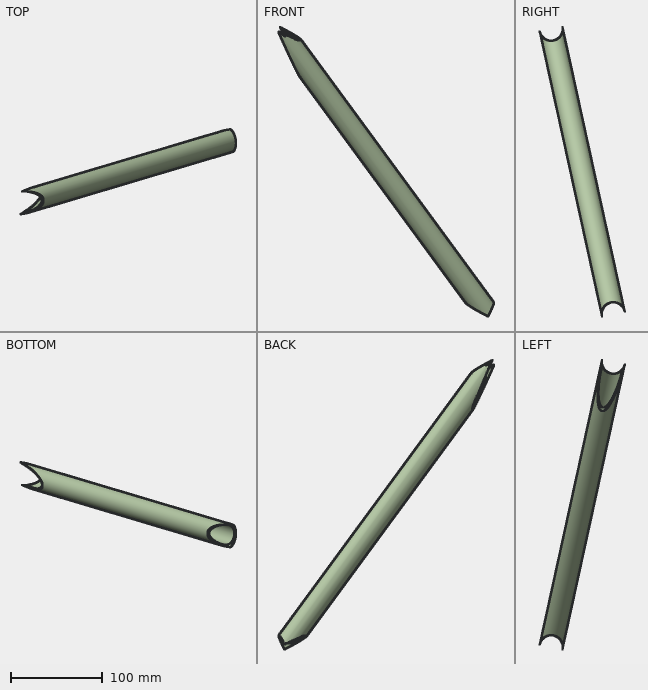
import cadquery as cq
OUTER_DIAMETER = 25.4
WALL = 1.65
LOWER_JOINT = cq.Vector(114.0, 33.985, -155.33)
UPPER_JOINT = cq.Vector(-114.0, -33.985, 155.33)

CROSS_TUBE_DIRECTION = cq.Vector(1, 0, 0)
BRACE_DIRECTION = cq.Vector(0.193, 0.238, -0.951)
COPE_LENGTH = 400.0

outer_radius = OUTER_DIAMETER / 2
inner_radius = outer_radius - WALL


def hollow_tube(start, end):
    """Round tube with square ends, centred on the line from start to end."""
    axis = end - start
    outside = cq.Solid.makeCylinder(outer_radius, axis.Length, start, axis)
    bore = cq.Solid.makeCylinder(inner_radius, axis.Length, start, axis)
    return cq.Workplane(outside).cut(cq.Workplane(bore))


def neighbour_tube(joint, direction):
    """Solid envelope of an equal-diameter tube passing through a joint on both sides."""
    start = joint - direction.normalized() * (COPE_LENGTH / 2)
    return cq.Workplane(cq.Solid.makeCylinder(outer_radius, COPE_LENGTH, start, direction))


def largest_solid(body):
    """The main piece, without the slivers left beyond a cope."""
    return max(body.solids().vals(), key=lambda solid: solid.Volume())


tube = hollow_tube(LOWER_JOINT, UPPER_JOINT)

tube = tube.cut(neighbour_tube(LOWER_JOINT, CROSS_TUBE_DIRECTION))
tube = tube.cut(neighbour_tube(UPPER_JOINT, CROSS_TUBE_DIRECTION))
tube = tube.cut(neighbour_tube(UPPER_JOINT, BRACE_DIRECTION))

result = cq.Workplane(largest_solid(tube))